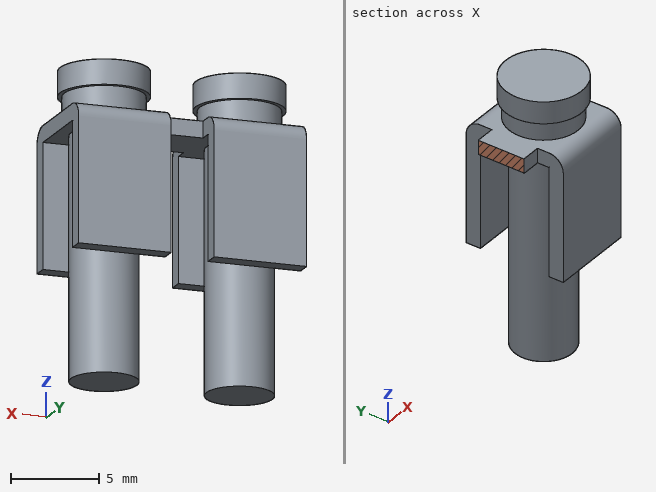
import cadquery as cq

screw_pitch = 8.2
clamp_length = 5.6
clamp_width = 6.8
clamp_height = 8.5
sheet_thickness = 1.0
bend_radius = 1.0
bridge_width = 3.2

shank_diameter = 4.0
shank_projection = 7.0
collar_diameter = 4.8
collar_height = 1.3
head_diameter = 5.3
head_height = 1.5

total_length = screw_pitch + clamp_length
channel_width = clamp_width - 2 * sheet_thickness
bridge_gap = screw_pitch - clamp_length
notch_depth = (clamp_width - bridge_width) / 2
shank_length = clamp_height + shank_projection


def make_bracket():
    """Folded U-channel, notched in the middle so that only a narrow bridge remains."""
    channel = (
        cq.Workplane("XY")
        .box(total_length, clamp_width, clamp_height, centered=(True, True, False))
        .translate((0, 0, -clamp_height))
        .edges("|X and >Z")
        .fillet(bend_radius)
    )
    leg_height = clamp_height - sheet_thickness
    inside = (
        cq.Workplane("XY")
        .box(total_length, channel_width, leg_height, centered=(True, True, False))
        .translate((0, 0, -clamp_height))
    )
    bracket = channel.cut(inside)

    for side in (-1, 1):
        notch_y = side * (bridge_width + notch_depth) / 2
        notch = (
            cq.Workplane("XY")
            .box(bridge_gap, notch_depth, clamp_height, centered=(True, True, False))
            .translate((0, notch_y, -clamp_height))
        )
        bracket = bracket.cut(notch)
    return bracket


def make_cylinder(x, bottom_z, diameter, height):
    """Upright cylinder on the mid-plane of the bracket."""
    return cq.Workplane("XY", origin=(x, 0, bottom_z)).circle(diameter / 2).extrude(height)


def make_screw(x):
    """Screw with a shank through the top plate, a collar and a plain round head."""
    shank = make_cylinder(x, -shank_length, shank_diameter, shank_length)
    collar = make_cylinder(x, 0, collar_diameter, collar_height)
    head = make_cylinder(x, collar_height, head_diameter, head_height)
    return shank.union(collar).union(head)


result = make_bracket()
for screw_x in (-screw_pitch / 2, screw_pitch / 2):
    result = result.union(make_screw(screw_x))